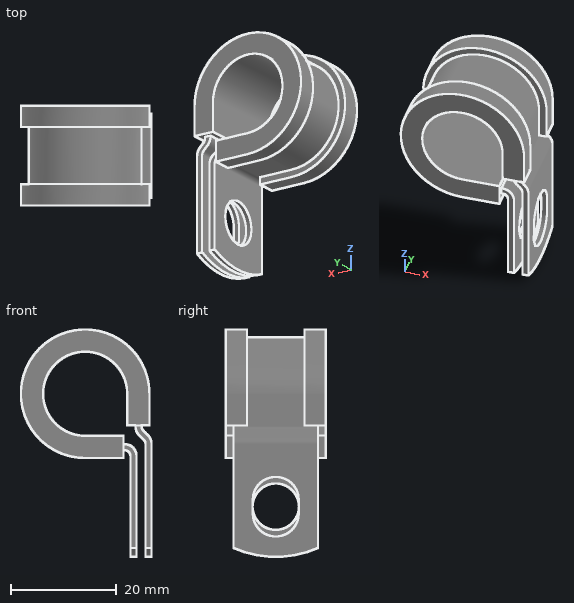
import cadquery as cq
import math

bore_radius = 7.94
cushion_radius = 12.19
cushion_width = 18.92
upper_end_z = -6.0
lower_end_x = 7.28

groove_width = 10.8
strap_thickness = 1.2
strap_outer_radius = 10.7
strap_inner_radius = strap_outer_radius - strap_thickness

leg_width = 16.0
outer_leg_face_x = 12.59
leg_pitch = 2.85
inner_leg_face_x = outer_leg_face_x - leg_pitch
leg_tip_z = -30.88
leg_corner_z = -29.2
bolt_hole_diameter = 8.73
bolt_slot_length = 11.27
bolt_hole_z = -21.36
root_overlap = 1.2

bend_inner_radius = 1.1
bend_outer_radius = bend_inner_radius + strap_thickness
jog_start_z = -6.2
jog_angle = math.radians(45)


def extrude_about_mid_plane(profile, width):
    """Extrude an XZ profile equally to both sides of the XZ plane."""
    return profile.extrude(width / 2, both=True)


def polar_point(centre, radius, angle):
    """Point in XZ at an angle measured from +X towards +Z."""
    return (centre[0] + radius * math.cos(angle), centre[1] + radius * math.sin(angle))


def loop_profile(inner_radius, outer_radius):
    """Three-quarter ring with a straight run at each end."""
    arc_middle = math.radians(135)
    inner_middle = polar_point((0, 0), inner_radius, arc_middle)
    outer_middle = polar_point((0, 0), outer_radius, arc_middle)
    return (
        cq.Workplane("XZ")
        .moveTo(inner_radius, upper_end_z)
        .lineTo(inner_radius, 0)
        .threePointArc(inner_middle, (0, -inner_radius))
        .lineTo(lower_end_x, -inner_radius)
        .lineTo(lower_end_x, -outer_radius)
        .lineTo(0, -outer_radius)
        .threePointArc(outer_middle, (outer_radius, 0))
        .lineTo(outer_radius, upper_end_z)
        .close()
    )


def make_cushion():
    """Full-width loop with a groove that bares the strap between two flanges."""
    body = extrude_about_mid_plane(loop_profile(bore_radius, cushion_radius), cushion_width)
    groove = extrude_about_mid_plane(loop_profile(strap_outer_radius, cushion_radius), groove_width)
    return body.cut(groove)


def make_inner_leg():
    """Leg that leaves the lower cushion end and turns straight down."""
    centre_x = inner_leg_face_x - bend_outer_radius
    centre_z = -strap_inner_radius - bend_outer_radius
    arc_middle = math.radians(45)
    outer_middle = polar_point((centre_x, centre_z), bend_outer_radius, arc_middle)
    inner_middle = polar_point((centre_x, centre_z), bend_inner_radius, arc_middle)
    root_x = lower_end_x - root_overlap
    profile = (
        cq.Workplane("XZ")
        .moveTo(root_x, -strap_inner_radius)
        .lineTo(centre_x, -strap_inner_radius)
        .threePointArc(outer_middle, (inner_leg_face_x, centre_z))
        .lineTo(inner_leg_face_x, leg_tip_z)
        .lineTo(inner_leg_face_x - strap_thickness, leg_tip_z)
        .lineTo(inner_leg_face_x - strap_thickness, centre_z)
        .threePointArc(inner_middle, (centre_x, -strap_outer_radius))
        .lineTo(root_x, -strap_outer_radius)
        .close()
    )
    return extrude_about_mid_plane(profile, leg_width)


def make_outer_leg():
    """Leg that leaves the upper cushion end, jogs outwards and runs down."""
    jog_offset = outer_leg_face_x - strap_outer_radius
    bend_radius_sum = bend_inner_radius + bend_outer_radius
    slant_run = jog_offset - bend_radius_sum * (1 - math.cos(jog_angle))
    jog_height = bend_radius_sum * math.sin(jog_angle) + slant_run / math.tan(jog_angle)

    upper_centre = (strap_outer_radius + bend_inner_radius, jog_start_z)
    lower_centre = (outer_leg_face_x - bend_outer_radius, jog_start_z - jog_height)

    def upper_bend(radius, angle):
        return polar_point(upper_centre, radius, math.pi + angle)

    def lower_bend(radius, angle):
        return polar_point(lower_centre, radius, angle)

    half_angle = jog_angle / 2
    root_z = upper_end_z + root_overlap
    profile = (
        cq.Workplane("XZ")
        .moveTo(strap_outer_radius, root_z)
        .lineTo(strap_outer_radius, jog_start_z)
        .threePointArc(upper_bend(bend_inner_radius, half_angle), upper_bend(bend_inner_radius, jog_angle))
        .lineTo(*lower_bend(bend_outer_radius, jog_angle))
        .threePointArc(lower_bend(bend_outer_radius, half_angle), lower_bend(bend_outer_radius, 0))
        .lineTo(outer_leg_face_x, leg_tip_z)
        .lineTo(outer_leg_face_x - strap_thickness, leg_tip_z)
        .lineTo(*lower_bend(bend_inner_radius, 0))
        .threePointArc(lower_bend(bend_inner_radius, half_angle), lower_bend(bend_inner_radius, jog_angle))
        .lineTo(*upper_bend(bend_outer_radius, jog_angle))
        .threePointArc(upper_bend(bend_outer_radius, half_angle), upper_bend(bend_outer_radius, 0))
        .lineTo(strap_inner_radius, root_z)
        .close()
    )
    return extrude_about_mid_plane(profile, leg_width)


def make_leg_outline():
    """Bar along X with the legs' outline: flat sides and a rounded tip."""
    half_width = leg_width / 2
    outline = (
        cq.Workplane("YZ")
        .moveTo(-half_width, 0)
        .lineTo(-half_width, leg_corner_z)
        .threePointArc((0, leg_tip_z), (half_width, leg_corner_z))
        .lineTo(half_width, 0)
        .close()
    )
    return outline.extrude(outer_leg_face_x)


def make_bolt_hole():
    """Round hole along X for the inner leg."""
    hole = cq.Workplane("YZ").center(0, bolt_hole_z).circle(bolt_hole_diameter / 2)
    return hole.extrude(outer_leg_face_x)


def make_bolt_slot():
    """Upright slot along X for the outer leg, as wide as the bolt hole and on its centre."""
    slot = cq.Workplane("YZ").center(0, bolt_hole_z).slot2D(bolt_slot_length, bolt_hole_diameter, 90)
    return slot.extrude(outer_leg_face_x)


inner_leg = make_inner_leg().cut(make_bolt_hole())
outer_leg = make_outer_leg().cut(make_bolt_slot())
legs = inner_leg.union(outer_leg).intersect(make_leg_outline())

result = make_cushion().union(legs)